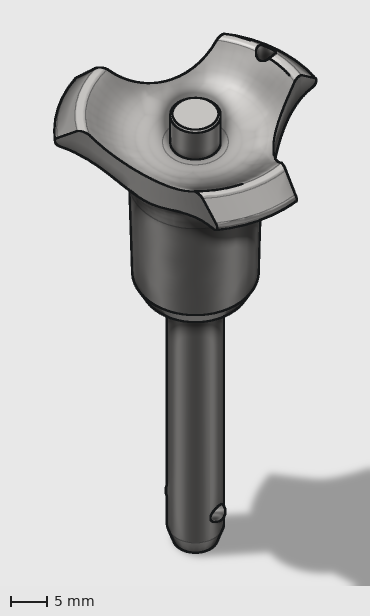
import cadquery as cq

total_height = 81.5
collar_bottom = 48.25
shank_bottom = 48.65
shank_chamfer_top = 51.2
flare_bottom = 68.2

pin_radius = 4.0
tip_radius = 3.2
tip_height = 2.7
ball_radius = 1.5
ball_offset = 3.4
ball_height = 6.9

collar_radius = 6.7
shank_bottom_radius = 7.6
shank_lower_radius = 8.8
shank_upper_radius = 9.2
flare_mid_radius = 11.6
flare_mid_height = 73.6
flare_top_radius = 18.8
flare_top_height = 77.3

rim_radius = 19.2
rim_height = 78.8
edge_bulge_radius = 19.6
edge_bulge_height = 77.9
crest_outer_radius = 16.7
crest_inner_radius = 15.2
crest_drop = 0.25
bowl_mid_radius = 11.3
bowl_mid_height = 78.15
bowl_floor_radius = 4.6
bowl_floor_height = 76.0

button_radius = 3.5
button_chamfer = 0.3

front_scallop_radius = 48.9
front_scallop_depth_y = -11.3
side_scallop_radius = 18.1
side_scallop_x = 24.85
side_scallop_y = 15.1

lanyard_radius = 1.4
lanyard_y = 16.0


def make_handle():
    """Revolved shank, flared rim and bowl around the Z axis."""
    crest_height = total_height - crest_drop
    crest_mid_radius = (crest_outer_radius + crest_inner_radius) / 2
    profile = (
        cq.Workplane("XZ")
        .moveTo(0, collar_bottom)
        .lineTo(collar_radius, collar_bottom)
        .lineTo(collar_radius, shank_bottom)
        .lineTo(shank_bottom_radius, shank_bottom)
        .lineTo(shank_lower_radius, shank_chamfer_top)
        .lineTo(shank_upper_radius, flare_bottom)
        .threePointArc((flare_mid_radius, flare_mid_height), (flare_top_radius, flare_top_height))
        .threePointArc((edge_bulge_radius, edge_bulge_height), (rim_radius, rim_height))
        .lineTo(crest_outer_radius, crest_height)
        .threePointArc((crest_mid_radius, total_height), (crest_inner_radius, crest_height))
        .threePointArc((bowl_mid_radius, bowl_mid_height), (bowl_floor_radius, bowl_floor_height))
        .lineTo(0, bowl_floor_height)
        .close()
    )
    return profile.revolve(360, (0, 0, 0), (0, 1, 0))


def make_scallop(x, y, radius):
    """Vertical cylinder that cuts the rim between two lobes."""
    cutter = cq.Workplane("XY", origin=(x, y, flare_bottom))
    return cutter.circle(radius).extrude(total_height - flare_bottom)


def make_lanyard_hole():
    cutter = cq.Workplane("XY", origin=(0, lanyard_y, flare_bottom))
    return cutter.circle(lanyard_radius).extrude(total_height - flare_bottom)


def make_pin():
    """Straight pin with a tapered tip."""
    profile = (
        cq.Workplane("XZ")
        .lineTo(tip_radius, 0)
        .lineTo(pin_radius, tip_height)
        .lineTo(pin_radius, shank_bottom)
        .lineTo(0, shank_bottom)
        .close()
    )
    return profile.revolve(360, (0, 0, 0), (0, 1, 0))


def make_ball(side):
    return cq.Workplane("XY").sphere(ball_radius).translate((side * ball_offset, 0, ball_height))


def make_button():
    """Push button standing on the bowl floor, rooted in the shank."""
    button = cq.Workplane("XY", origin=(0, 0, flare_bottom)).circle(button_radius)
    return button.extrude(total_height - flare_bottom).faces(">Z").chamfer(button_chamfer)


handle = make_handle()
handle = handle.cut(make_scallop(0, front_scallop_depth_y - front_scallop_radius, front_scallop_radius))
for side in (-1, 1):
    handle = handle.cut(make_scallop(side * side_scallop_x, side_scallop_y, side_scallop_radius))
handle = handle.cut(make_lanyard_hole())

result = handle.union(make_button()).union(make_pin())
for side in (-1, 1):
    result = result.union(make_ball(side))